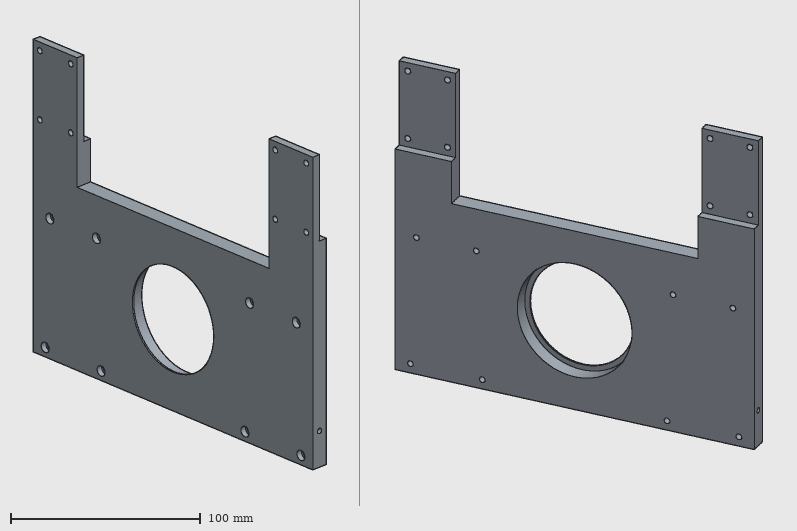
import cadquery as cq

WIDTH = 210.0
HEIGHT = 181.0
THICKNESS = 10.0
FRONT_Y = -THICKNESS / 2
BACK_Y = THICKNESS / 2

ARM_WIDTH = 33.0
ARM_LENGTH = 75.0
STEP_LENGTH = 50.0
STEP_DEPTH = THICKNESS / 2

BORE_DIAMETER = 61.0
BORE_Z = 53.0
RECESS_DIAMETER = 67.0
LIP_THICKNESS = 1.0

ARM_HOLE_DIAMETER = 3.4
ARM_HOLE_INSETS = (5.0, 28.25)
ARM_HOLE_DROPS = (5.0, 45.0)

UPPER_ROW_Z = 81.2
LOWER_ROW_Z = 5.55
SCREW_HOLES = (
    (12.5, UPPER_ROW_Z),
    (47.5, UPPER_ROW_Z),
    (9.0, LOWER_ROW_Z),
    (51.0, LOWER_ROW_Z),
)
SCREW_DIAMETER = 3.3
COUNTERBORE_DIAMETER = 5.9
COUNTERBORE_DEPTH = 3.4

SIDE_HOLE_DIAMETER = 3.0
SIDE_HOLE_DEPTH = 10.0
SIDE_HOLE_Z = 21.0


def box(width, depth, height, x, y, z):
    """Box centred on x, with its lowest Y and Z faces at y and z."""
    block = cq.Workplane("XY").box(width, depth, height, centered=(True, False, False))
    return block.translate((x, y, z))


def hole_from_front(diameter, depth, x, z):
    """Cylinder running in +Y from the front face."""
    circle = cq.Workplane("XZ", origin=(x, FRONT_Y, z)).circle(diameter / 2)
    return circle.extrude(-depth)


def make_plate():
    gap_width = WIDTH - 2 * ARM_WIDTH
    plate = box(WIDTH, THICKNESS, HEIGHT, 0, FRONT_Y, 0)
    gap = box(gap_width, THICKNESS, ARM_LENGTH, 0, FRONT_Y, HEIGHT - ARM_LENGTH)
    step = box(WIDTH, STEP_DEPTH, STEP_LENGTH, 0, BACK_Y - STEP_DEPTH, HEIGHT - STEP_LENGTH)
    return plate.cut(gap).cut(step)


def cut_bore(part):
    bore = hole_from_front(BORE_DIAMETER, THICKNESS, 0, BORE_Z)
    recess = hole_from_front(RECESS_DIAMETER, THICKNESS, 0, BORE_Z).translate((0, LIP_THICKNESS, 0))
    return part.cut(bore).cut(recess)


def cut_arm_holes(part, side):
    for inset in ARM_HOLE_INSETS:
        for drop in ARM_HOLE_DROPS:
            x = side * (WIDTH / 2 - inset)
            part = part.cut(hole_from_front(ARM_HOLE_DIAMETER, THICKNESS, x, HEIGHT - drop))
    return part


def cut_screw_holes(part, side):
    for inset, z in SCREW_HOLES:
        x = side * (WIDTH / 2 - inset)
        part = part.cut(hole_from_front(SCREW_DIAMETER, THICKNESS, x, z))
        part = part.cut(hole_from_front(COUNTERBORE_DIAMETER, COUNTERBORE_DEPTH, x, z))
    return part


def cut_side_hole(part, side):
    circle = cq.Workplane("YZ", origin=(side * WIDTH / 2, 0, SIDE_HOLE_Z)).circle(SIDE_HOLE_DIAMETER / 2)
    return part.cut(circle.extrude(-side * SIDE_HOLE_DEPTH))


result = cut_bore(make_plate())
for side in (-1, 1):
    result = cut_arm_holes(result, side)
    result = cut_screw_holes(result, side)
    result = cut_side_hole(result, side)